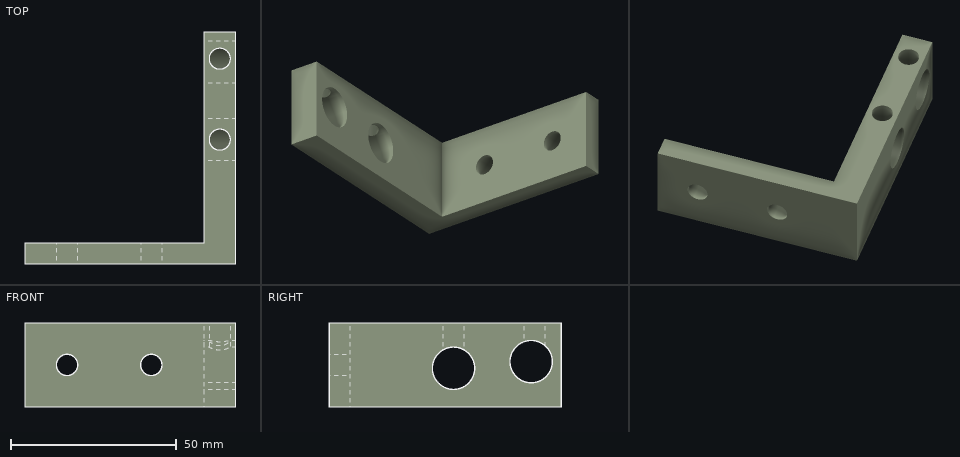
import cadquery as cq

length_x = 63.5
length_y = 70.0
height = 25.4
base_leg_thickness = 6.35
side_leg_thickness = 9.525

mount_hole_diameter = 6.35
mount_hole_z = height / 2
mount_hole_x_positions = (12.7, 38.1)

bore_diameter = 12.7
bore_centers = ((37.5, 11.7), (60.9, 13.7))

clamp_hole_diameter = 6.35
clamp_hole_x = length_x - side_leg_thickness / 2
clamp_hole_y_positions = (37.5, 61.9)


def bracket_body():
    """Two legs meeting in a square corner at maximum X, minimum Y."""
    inner_x = length_x - side_leg_thickness
    outline = [
        (0, 0),
        (length_x, 0),
        (length_x, length_y),
        (inner_x, length_y),
        (inner_x, base_leg_thickness),
        (0, base_leg_thickness),
    ]
    return cq.Workplane("XY").polyline(outline).close().extrude(height)


def mount_hole(x):
    """Cylinder along Y through the base leg."""
    return (
        cq.Workplane("XZ", origin=(x, 0, mount_hole_z))
        .circle(mount_hole_diameter / 2)
        .extrude(-base_leg_thickness)
    )


def bore(y, z):
    """Cylinder along X through the side leg."""
    return (
        cq.Workplane("YZ", origin=(length_x - side_leg_thickness, y, z))
        .circle(bore_diameter / 2)
        .extrude(side_leg_thickness)
    )


def clamp_hole(y, bottom_z):
    """Vertical cylinder from the top face down into a bore."""
    return (
        cq.Workplane("XY", origin=(clamp_hole_x, y, bottom_z))
        .circle(clamp_hole_diameter / 2)
        .extrude(height - bottom_z)
    )


result = bracket_body()
for hole_x in mount_hole_x_positions:
    result = result.cut(mount_hole(hole_x))
for (bore_y, bore_z), clamp_y in zip(bore_centers, clamp_hole_y_positions):
    result = result.cut(bore(bore_y, bore_z))
    result = result.cut(clamp_hole(clamp_y, bore_z))